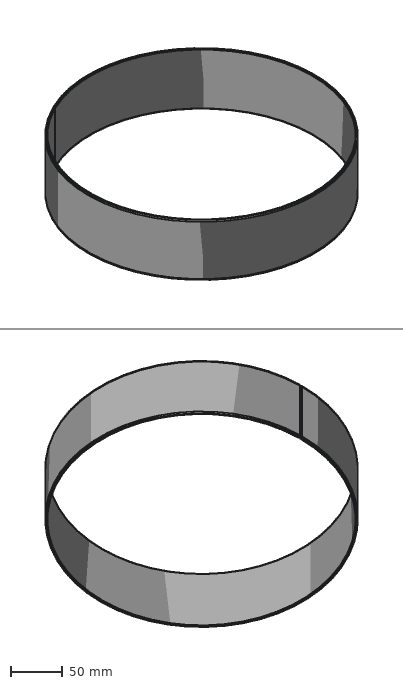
import cadquery as cq

outer_diameter = 305
wall = 2.5
height = 70
outer_chamfer_depth = 0.5
outer_chamfer_height = 1.8
inner_chamfer_depth = 0.3
inner_chamfer_height = 1.0
slit_width = 2.5

outer_radius = outer_diameter / 2
inner_radius = outer_radius - wall

band = (
    cq.Workplane("XZ")
    .moveTo(inner_radius + inner_chamfer_depth, 0)
    .lineTo(outer_radius - outer_chamfer_depth, 0)
    .lineTo(outer_radius, outer_chamfer_height)
    .lineTo(outer_radius, height - outer_chamfer_height)
    .lineTo(outer_radius - outer_chamfer_depth, height)
    .lineTo(inner_radius + inner_chamfer_depth, height)
    .lineTo(inner_radius, height - inner_chamfer_height)
    .lineTo(inner_radius, inner_chamfer_height)
    .close()
    .revolve(360, (0, 0, 0), (0, 1, 0))
)

slit_cutter = cq.Workplane("XY").box(outer_radius, slit_width, height, centered=False)
result = band.cut(slit_cutter.translate((-outer_radius, 0, 0)))